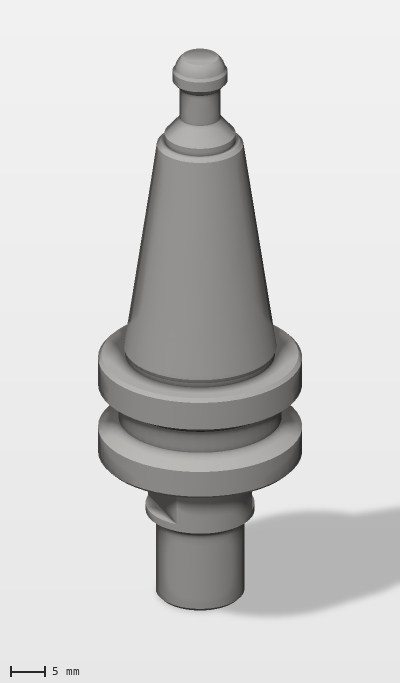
import cadquery as cq
import math

NOSE_DIA = 13.0
COLLAR_DIA = 16.0
FLANGE_DIA = 30.0
GROOVE_DIA = 24.0
RELIEF_DIA = 22.0
TAPER_LARGE_DIA = 22.4
STUD_BASE_DIA = 10.5
STUD_NECK_DIA = 6.0
STUD_SHOULDER_DIA = 7.5
STUD_HEAD_DIA = 8.1
STUD_TIP_DIA = 5.45

COLLAR_BOTTOM = 12.8
FLANGE_BOTTOM = 22.7
LOWER_RIM_TOP = 27.25
GROOVE_BOTTOM = 28.9
GROOVE_TOP = 32.35
UPPER_RIM_BOTTOM = 34.2
FLANGE_TOP = 39.1
RELIEF_TOP = 39.8
TAPER_BOTTOM = 40.4
TAPER_TOP = 74.2
STUD_BASE_TOP = 75.4
STUD_CONE_TOP = 77.6
STUD_NECK_BOTTOM = 78.05
STUD_NECK_TOP = 83.0
STUD_HEAD_BOTTOM = 84.1
STUD_HEAD_TOP = 85.7
STUD_SHOULDER = 86.1
TOTAL_HEIGHT = 87.9

EDGE_CHAMFER = 0.5
COLLAR_CHAMFER = 0.8
NOSE_FILLET = 0.35
COLLAR_FILLET = 0.8
STUD_NECK_FLARE = 0.35

FLAT_SPACING = 12.0
FLAT_BOTTOM = 14.8

TAPER_RATE = 7 / 24
STUD_CROWN_BULGE = 0.13


def make_body():
    """Revolve the holder and pull stud as one profile of (radius, height)."""
    nose = NOSE_DIA / 2
    collar = COLLAR_DIA / 2
    flange = FLANGE_DIA / 2
    groove = GROOVE_DIA / 2
    relief = RELIEF_DIA / 2
    taper_large = TAPER_LARGE_DIA / 2
    taper_end = TAPER_TOP - EDGE_CHAMFER
    taper_small = taper_large - TAPER_RATE * (taper_end - TAPER_BOTTOM) / 2
    stud_base = STUD_BASE_DIA / 2
    stud_neck = STUD_NECK_DIA / 2
    stud_head = STUD_HEAD_DIA / 2
    shoulder = STUD_SHOULDER_DIA / 2
    stud_tip = STUD_TIP_DIA / 2
    arc_inset = 1 - math.sqrt(0.5)
    crown_middle = (
        (shoulder + stud_tip) / 2 + STUD_CROWN_BULGE,
        (STUD_SHOULDER + TOTAL_HEIGHT) / 2 + STUD_CROWN_BULGE,
    )

    profile = (
        cq.Workplane("XZ")
        .lineTo(nose - EDGE_CHAMFER, 0)
        .lineTo(nose, EDGE_CHAMFER)
        .lineTo(nose, COLLAR_BOTTOM - NOSE_FILLET)
        .threePointArc(
            (nose + NOSE_FILLET * arc_inset, COLLAR_BOTTOM - NOSE_FILLET * arc_inset),
            (nose + NOSE_FILLET, COLLAR_BOTTOM),
        )
        .lineTo(collar, COLLAR_BOTTOM + COLLAR_CHAMFER)
        .lineTo(collar, FLANGE_BOTTOM - COLLAR_FILLET)
        .threePointArc(
            (collar + COLLAR_FILLET * arc_inset, FLANGE_BOTTOM - COLLAR_FILLET * arc_inset),
            (collar + COLLAR_FILLET, FLANGE_BOTTOM),
        )
        .lineTo(flange - EDGE_CHAMFER, FLANGE_BOTTOM)
        .lineTo(flange, FLANGE_BOTTOM + EDGE_CHAMFER)
        .lineTo(flange, LOWER_RIM_TOP)
        .lineTo(groove, GROOVE_BOTTOM)
        .lineTo(groove, GROOVE_TOP)
        .lineTo(flange, UPPER_RIM_BOTTOM)
        .lineTo(flange, FLANGE_TOP - EDGE_CHAMFER)
        .lineTo(flange - EDGE_CHAMFER, FLANGE_TOP)
        .lineTo(relief, FLANGE_TOP)
        .lineTo(relief, RELIEF_TOP)
        .lineTo(taper_large, TAPER_BOTTOM)
        .lineTo(taper_small, taper_end)
        .lineTo(taper_small - EDGE_CHAMFER, TAPER_TOP)
        .lineTo(stud_base, TAPER_TOP)
        .lineTo(stud_base, STUD_BASE_TOP)
        .lineTo(stud_neck + STUD_NECK_FLARE, STUD_CONE_TOP)
        .lineTo(stud_neck, STUD_NECK_BOTTOM)
        .lineTo(stud_neck, STUD_NECK_TOP)
        .lineTo(stud_head, STUD_HEAD_BOTTOM)
        .lineTo(stud_head, STUD_HEAD_TOP)
        .lineTo(shoulder, STUD_SHOULDER)
        .threePointArc(crown_middle, (stud_tip, TOTAL_HEIGHT))
        .lineTo(0, TOTAL_HEIGHT)
        .close()
    )
    return profile.revolve(360, (0, 0, 0), (0, 1, 0))


def make_flat_cutter(side):
    """Block that cuts one wrench flat, on the -Y (-1) or +Y (1) side of the collar."""
    depth = COLLAR_DIA / 2
    return (
        cq.Workplane("XY", origin=(0, side * (FLAT_SPACING + depth) / 2, FLAT_BOTTOM))
        .rect(FLANGE_DIA, depth)
        .extrude(FLANGE_BOTTOM - FLAT_BOTTOM)
    )


result = make_body()
for side in (-1, 1):
    result = result.cut(make_flat_cutter(side))